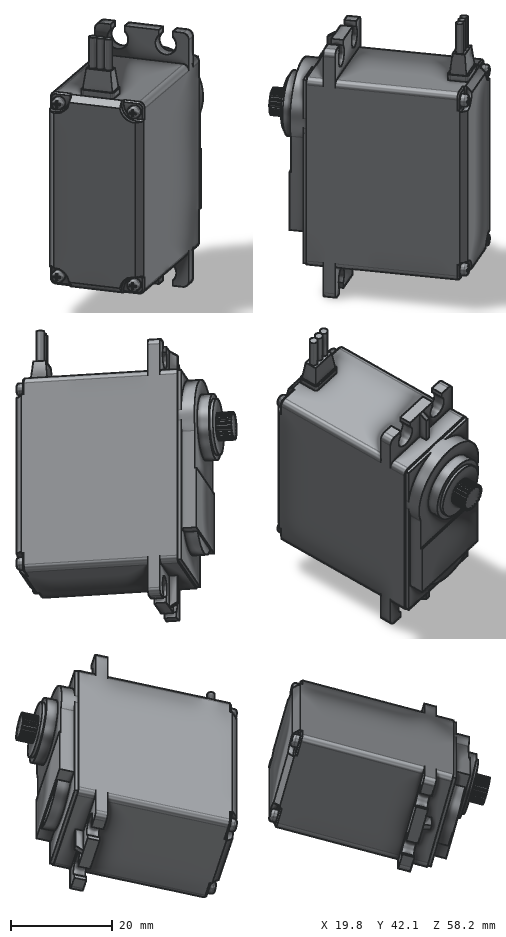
import cadquery as cq
import math


OVERALL_HEIGHT = 58.25

CASE_WIDTH = 19.8
CASE_HEIGHT = 40.0
CASE_FRONT_Y = 32.65
CASE_EDGE_RADIUS = 1.2
REAR_CHAMFER = 1.3

POCKET_WIDTH = 4.6
POCKET_HEIGHT = 3.9
POCKET_DEPTH = 1.45
POCKET_BEVEL = 0.35
POCKET_CORNER_RADIUS = 3.15
SCREW_X = 8.0
SCREW_Z = 18.0
SCREW_HEAD_RADIUS = 1.3
SCREW_HEAD_ROUNDING = 0.65
CROSS_LENGTH = 1.4
CROSS_WIDTH = 0.3
CROSS_DEPTH = 0.45

FLANGE_HEIGHT = 52.95
FLANGE_BACK_Y = 26.7
FLANGE_THICKNESS = 2.45
FLANGE_CORNER_RADIUS = 1.3
MOUNT_HOLE_X = 5.05
MOUNT_HOLE_Z = 23.7
MOUNT_HOLE_DIAMETER = 4.35
MOUNT_SLOT_WIDTH = 2.9
RIB_WIDTH = 0.95
RIB_DEPTH = 1.65
RIB_TIP_DROP = 1.0

SHAFT_Z = 10.35
FRONT_PLATE_WIDTH = 18.85
FRONT_PLATE_HEIGHT = 39.15
FRONT_PLATE_THICKNESS = 0.7
HOUSING_RADIUS = 9.5
HOUSING_FRONT_Y = 36.05
HOUSING_TAIL_WIDTH = 17.8
HOUSING_BOTTOM_Z = -15.55
PAD_TOP_Z = -0.65
PAD_BOTTOM_Z = -13.0
PAD_THICKNESS = 0.3
BEARING_RADIUS = 6.6
BEARING_FRONT_Y = 38.3
COLLAR_RADIUS = 5.6
COLLAR_FRONT_Y = 38.95

SHAFT_TIP_Y = 42.1
SPLINE_TEETH = 21
SPLINE_TIP_RADIUS = 2.8
SPLINE_ROOT_RADIUS = 2.4

CABLE_Y = 3.45
GROMMET_WIDTH = 6.9
GROMMET_DEPTH = 4.25
GROMMET_BASE_HEIGHT = 1.2
GROMMET_EDGE_RADIUS = 0.6
SLEEVE_BOTTOM = (6.3, 3.45)
SLEEVE_TOP = (5.1, 2.5)
SLEEVE_HEIGHT = 4.2
WIRE_COUNT = 3
WIRE_DIAMETER = 1.6
WIRE_PITCH = 1.65
WIRE_TOP_Z = OVERALL_HEIGHT - FLANGE_HEIGHT / 2

CORNERS = [(sx, sz) for sx in (-1, 1) for sz in (-1, 1)]


def plane_at(y):
    """Sketch plane facing +Y, with its local axes along +Z and +X."""
    return cq.Workplane(cq.Plane(origin=(0, y, 0), xDir=(0, 0, 1), normal=(0, 1, 0)))


def block(width, height, y_start, y_end, x=0, z=0):
    """Box centred on (x, z) that runs from y_start to y_end."""
    return plane_at(y_start).center(z, x).rect(height, width).extrude(y_end - y_start)


def disc(radius, y_start, y_end, x=0, z=0):
    """Cylinder along Y centred on (x, z)."""
    return plane_at(y_start).center(z, x).circle(radius).extrude(y_end - y_start)


def make_case():
    case = block(CASE_WIDTH, CASE_HEIGHT, 0, CASE_FRONT_Y)
    case = case.edges("|Y").fillet(CASE_EDGE_RADIUS)
    rear_width = CASE_WIDTH - 2 * REAR_CHAMFER
    rear_height = CASE_HEIGHT - 2 * REAR_CHAMFER
    rear_taper = (
        plane_at(0)
        .rect(rear_height, rear_width)
        .workplane(offset=REAR_CHAMFER)
        .rect(CASE_HEIGHT, CASE_WIDTH)
        .loft()
    )
    tapered_case = rear_taper.union(block(CASE_WIDTH, CASE_HEIGHT, REAR_CHAMFER, CASE_FRONT_Y))
    case = case.intersect(tapered_case)
    for sx, sz in CORNERS:
        case = case.cut(make_pocket(sx, sz))
    return case


def make_rim_bevel():
    """Ring that bevels the outer rim of the pocket floors."""
    rim_end_y = POCKET_DEPTH + 2 * POCKET_BEVEL
    core = block(CASE_WIDTH, CASE_HEIGHT, POCKET_DEPTH, rim_end_y)
    core = core.edges("|Y").fillet(CASE_EDGE_RADIUS)
    core = core.faces("<Y").chamfer(POCKET_BEVEL)
    return block(CASE_WIDTH, CASE_HEIGHT, POCKET_DEPTH, rim_end_y).cut(core)


def make_pocket(sx, sz):
    """Corner pocket with one round inner corner, bevelled where its walls meet the floor."""
    size = (2 * POCKET_WIDTH, 2 * POCKET_HEIGHT)
    corner = (sx * CASE_WIDTH / 2, sz * CASE_HEIGHT / 2)
    pocket = block(*size, 0, POCKET_DEPTH, *corner)
    pocket = pocket.edges("|Y").fillet(POCKET_CORNER_RADIUS)
    pocket = pocket.faces(">Y").chamfer(POCKET_BEVEL)
    rim_size = [side - 2 * POCKET_BEVEL for side in size]
    rim_zone = block(*rim_size, POCKET_DEPTH, POCKET_DEPTH + POCKET_BEVEL, *corner)
    return pocket.union(make_rim_bevel().intersect(rim_zone))


def make_screw(sx, sz):
    x = sx * SCREW_X
    z = sz * SCREW_Z
    head = disc(SCREW_HEAD_RADIUS, 0, POCKET_DEPTH, x, z)
    head = head.faces("<Y").edges().fillet(SCREW_HEAD_ROUNDING)
    upright_slot = block(CROSS_WIDTH, CROSS_LENGTH, 0, CROSS_DEPTH, x, z)
    level_slot = block(CROSS_LENGTH, CROSS_WIDTH, 0, CROSS_DEPTH, x, z)
    return head.cut(upright_slot).cut(level_slot)


def make_flange():
    flange_front_y = FLANGE_BACK_Y + FLANGE_THICKNESS
    flange = block(CASE_WIDTH, FLANGE_HEIGHT, FLANGE_BACK_Y, flange_front_y)
    flange = flange.edges("|Y").fillet(FLANGE_CORNER_RADIUS)
    slot_length = FLANGE_HEIGHT / 2 - MOUNT_HOLE_Z
    for sx, sz in CORNERS:
        x = sx * MOUNT_HOLE_X
        hole_z = sz * MOUNT_HOLE_Z
        hole = disc(MOUNT_HOLE_DIAMETER / 2, FLANGE_BACK_Y, flange_front_y, x, hole_z)
        slot_z = sz * (MOUNT_HOLE_Z + slot_length / 2)
        slot = block(MOUNT_SLOT_WIDTH, slot_length, FLANGE_BACK_Y, flange_front_y, x, slot_z)
        flange = flange.cut(hole).cut(slot)
    tip_z = FLANGE_HEIGHT / 2
    rib_front_y = flange_front_y + RIB_DEPTH
    rib = (
        cq.Workplane("YZ")
        .moveTo(flange_front_y, -tip_z)
        .lineTo(rib_front_y, RIB_TIP_DROP - tip_z)
        .lineTo(rib_front_y, tip_z - RIB_TIP_DROP)
        .lineTo(flange_front_y, tip_z)
        .close()
        .extrude(RIB_WIDTH / 2, both=True)
    )
    return flange.union(rib)


def make_gear_housing():
    plate = block(
        FRONT_PLATE_WIDTH, FRONT_PLATE_HEIGHT, CASE_FRONT_Y, CASE_FRONT_Y + FRONT_PLATE_THICKNESS
    )
    drum = disc(HOUSING_RADIUS, CASE_FRONT_Y, HOUSING_FRONT_Y, z=SHAFT_Z)
    tail_radius = HOUSING_TAIL_WIDTH / 2
    tail_end_z = HOUSING_BOTTOM_Z + tail_radius
    tail = block(
        HOUSING_TAIL_WIDTH, SHAFT_Z - tail_end_z,
        CASE_FRONT_Y, HOUSING_FRONT_Y, z=(SHAFT_Z + tail_end_z) / 2,
    )
    tail = tail.union(disc(tail_radius, CASE_FRONT_Y, HOUSING_FRONT_Y, z=tail_end_z))
    pad = block(
        HOUSING_TAIL_WIDTH, PAD_TOP_Z - PAD_BOTTOM_Z,
        CASE_FRONT_Y, HOUSING_FRONT_Y + PAD_THICKNESS, z=(PAD_TOP_Z + PAD_BOTTOM_Z) / 2,
    )
    bearing = disc(BEARING_RADIUS, HOUSING_FRONT_Y, BEARING_FRONT_Y, z=SHAFT_Z)
    collar = disc(COLLAR_RADIUS, BEARING_FRONT_Y, COLLAR_FRONT_Y, z=SHAFT_Z)
    return plate.union(drum).union(tail).union(pad).union(bearing).union(collar)


def make_spline():
    """Toothed shaft: flat-topped teeth, as wide at the tip as the V grooves between them."""
    pitch_angle = 2 * math.pi / SPLINE_TEETH
    outline = []
    for tooth in range(SPLINE_TEETH):
        tooth_angle = tooth * pitch_angle
        corners = (
            (SPLINE_TIP_RADIUS, tooth_angle - pitch_angle / 4),
            (SPLINE_TIP_RADIUS, tooth_angle + pitch_angle / 4),
            (SPLINE_ROOT_RADIUS, tooth_angle + pitch_angle / 2),
        )
        for radius, angle in corners:
            outline.append((radius * math.cos(angle), radius * math.sin(angle)))
    length = SHAFT_TIP_Y - COLLAR_FRONT_Y
    return plane_at(COLLAR_FRONT_Y).center(SHAFT_Z, 0).polyline(outline).close().extrude(length)


def make_cable():
    base_z = CASE_HEIGHT / 2
    sleeve_z = base_z + GROMMET_BASE_HEIGHT
    wire_z = sleeve_z + SLEEVE_HEIGHT
    base = (
        cq.Workplane("XY", origin=(0, CABLE_Y, base_z))
        .rect(GROMMET_WIDTH, GROMMET_DEPTH)
        .extrude(GROMMET_BASE_HEIGHT)
        .edges("|Z")
        .fillet(GROMMET_EDGE_RADIUS)
    )
    sleeve = (
        cq.Workplane("XY", origin=(0, CABLE_Y, sleeve_z))
        .rect(*SLEEVE_BOTTOM)
        .workplane(offset=SLEEVE_HEIGHT)
        .rect(*SLEEVE_TOP)
        .loft()
    )
    wires = (
        cq.Workplane("XY", origin=(0, CABLE_Y, wire_z))
        .rarray(WIRE_PITCH, 0.6, WIRE_COUNT, 1)
        .circle(WIRE_DIAMETER / 2)
        .extrude(WIRE_TOP_Z - wire_z)
    )
    return base.union(sleeve).union(wires)


result = make_case().union(make_flange()).union(make_gear_housing())
result = result.union(make_spline()).union(make_cable())
for side_x, side_z in CORNERS:
    result = result.union(make_screw(side_x, side_z))